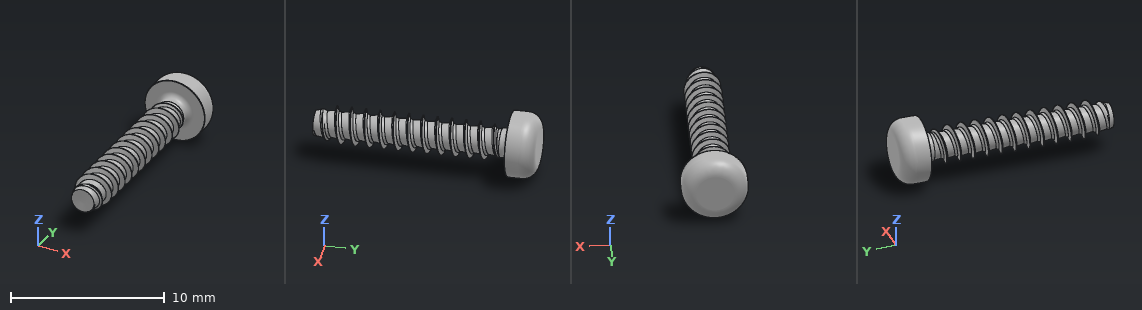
import cadquery as cq
import math


head_radius = 2.2
head_height = 1.9
rim_height = 0.95
dome_radius = head_height - rim_height
rim_edge_chamfer = 0.03

neck_radius = 0.98
seat_fillet = 0.4
neck_end = 0.62
neck_cone_end = 0.95
neck_cone_radius = 0.84

shank_length = 13.0
tip_radius = 0.83
tip_taper_length = 0.35
tip_dimple_depth = 0.1
trim_margin = 3.0

pitch = 0.95
crest_radius = 1.25
crest_half_width = 0.025
shoulder_radius = 0.945
shoulder_offset = 0.13
land_radius = 0.93
land_offset = -0.14
valley_radius = 0.86
valley_offset = 0.31

crest_zero_y = -2.06
fade_in_start = -1.7
fade_in_end = -0.5
fade_out_start = 10.05
fade_out_end = 11.2
body_first_turn = -2
body_last_turn = 13
points_per_turn = 24

thread_section = [
    (valley_radius, valley_radius, valley_offset),
    (shoulder_radius, shoulder_radius, shoulder_offset),
    (shoulder_radius, crest_radius, crest_half_width),
    (land_radius, crest_radius, -crest_half_width),
    (land_radius, land_radius, land_offset),
]


def revolve_about_y(profile):
    return profile.revolve(360, (0, 0, 0), (0, 1, 0))


def make_head_and_neck():
    """Domed head with the filleted neck and the cone that leads into the thread."""
    dome_flat = head_radius - dome_radius
    diagonal = math.sqrt(0.5)
    fillet_mid = seat_fillet * (1 - diagonal)
    return revolve_about_y(
        cq.Workplane("XY")
        .moveTo(0, head_height)
        .lineTo(dome_flat, head_height)
        .threePointArc(
            (dome_flat + dome_radius * diagonal, rim_height + dome_radius * diagonal),
            (head_radius, rim_height),
        )
        .lineTo(head_radius, rim_edge_chamfer)
        .lineTo(head_radius - rim_edge_chamfer, 0)
        .lineTo(neck_radius + seat_fillet, 0)
        .threePointArc((neck_radius + fillet_mid, -fillet_mid), (neck_radius, -seat_fillet))
        .lineTo(neck_radius, -neck_end)
        .lineTo(neck_cone_radius, -neck_cone_end)
        .lineTo(0, -neck_cone_end)
        .close()
    )


def crest_growth(turn):
    """Fraction of the full crest height, fading to zero at both ends of the thread."""
    fade_in = (turn - fade_in_start) / (fade_in_end - fade_in_start)
    fade_out = (fade_out_end - turn) / (fade_out_end - fade_out_start)
    return max(0.0, min(1.0, fade_in, fade_out))


def section_point(corner, turn):
    """Position of a section corner on the right-hand helix at a given turn."""
    base_radius, full_radius, offset = corner
    radius = base_radius + (full_radius - base_radius) * crest_growth(turn)
    angle = 2 * math.pi * turn
    y = crest_zero_y - pitch * turn + offset
    return cq.Vector(-radius * math.sin(angle), y, radius * math.cos(angle))


def helix_edge(corner, first_turn):
    """One turn of the helix traced by a section corner."""
    turns = [first_turn + i / points_per_turn for i in range(points_per_turn + 1)]
    return cq.Edge.makeSpline([section_point(corner, turn) for turn in turns])


def helix_end_faces(end_turn):
    """Close one end: a spiral floor under one turn of valley and the flat step beside it."""
    valley = thread_section[0]
    valley_edge = helix_edge(valley, end_turn)
    start = valley_edge.positionAt(0)
    end = valley_edge.positionAt(1)
    axis_start = cq.Vector(0, start.y, 0)
    axis_end = cq.Vector(0, end.y, 0)
    floor = cq.Face.makeRuledSurface(cq.Edge.makeLine(axis_start, axis_end), valley_edge)
    outline = [section_point(corner, end_turn) for corner in thread_section]
    step = cq.Wire.makePolygon([axis_start, *outline, end, axis_end], close=True)
    return [floor, cq.Face.makeFromWires(step)]


def make_threaded_body():
    """Solid bounded by the thread surface, turn by turn, and a spiral face at each end."""
    faces = []
    for turn in range(body_first_turn, body_last_turn):
        edges = [helix_edge(corner, turn) for corner in thread_section]
        edges.append(helix_edge(thread_section[0], turn + 1))
        for edge, next_edge in zip(edges, edges[1:]):
            faces.append(cq.Face.makeRuledSurface(edge, next_edge))
    faces += helix_end_faces(body_first_turn)
    faces += helix_end_faces(body_last_turn)
    return cq.Workplane(obj=cq.Solid.makeSolid(cq.Shell.makeShell(faces)))


def make_tip_cutter():
    """Space around the tapered tip: dimple, taper and a 45 degree flare past the thread end."""
    outside = crest_radius + trim_margin
    taper_start = -shank_length + tip_taper_length
    beyond = -shank_length - trim_margin
    return revolve_about_y(
        cq.Workplane("XY")
        .moveTo(0, -shank_length + tip_dimple_depth)
        .lineTo(tip_radius, -shank_length)
        .lineTo(land_radius, taper_start)
        .lineTo(outside, taper_start + outside - land_radius)
        .lineTo(outside, beyond)
        .lineTo(0, beyond)
        .close()
    )


shank = make_threaded_body().cut(make_tip_cutter())
result = make_head_and_neck().union(shank).solids()